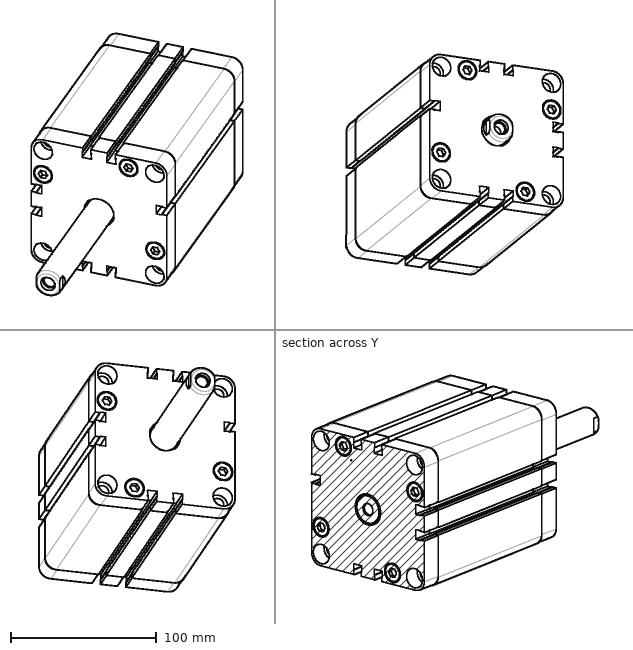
import cadquery as cq

total_length = 252.0
body_length = 146.0
cover_length = 16.1
rear_rod_length = 8.0
tube_width = 100.0
cover_width = 99.8
tube_corner_radius = 7.8
cover_corner_radius = 8.3

half_width = tube_width / 2
rod_front = -total_length / 2
rod_rear = total_length / 2
body_rear = rod_rear - rear_rod_length
body_front = body_rear - body_length
body_middle = (body_front + body_rear) / 2
tube_front = body_front + cover_length
tube_length = body_length - 2 * cover_length

paired_slot_offset = 9.0
single_slot_offset = 12.0
slot_lip = 3.8
slot_inner_width = 6.8
tube_mouth_width = 5.5
cover_mouth_width = 6.0
tube_slot_depth = 7.5
cover_slot_depth = 7.8

slots = [(turn, side * paired_slot_offset) for turn in (0, 180, 270) for side in (-1, 1)]
slots.append((90, -single_slot_offset))

mount_offset = 41.0
mount_hole_diameter = 8.5
mount_bore_diameter = 13.5
mount_bore_depth = 12.5

screw_edge_offset = 41.3
screw_side_offset = 21.7
screw_bore_diameter = 13.5
screw_head_diameter = 12.5
screw_gap_depth = 1.3
hex_across_corners = 6.5
hex_depth = 3.8

rod_diameter = 20.0
rod_end_radius = 1.8
rod_clearance_diameter = 22.0
rod_clearance_depth = 2.5
flat_across = 17.1
flat_length = 5.8
thread_diameter = 8.3
thread_depth = 20.2
thread_relief_diameter = 10.3
thread_relief_depth = 3.5
drill_point_depth = 2.5


def plane_at(y):
    """Work plane at y facing +Y, with its local axes along +X and -Z."""
    return cq.Workplane(cq.Plane(origin=(0, y, 0), xDir=(1, 0, 0), normal=(0, 1, 0)))


def cylinders(points, diameter, start, length):
    """Cylinders along +Y at the given (x, -z) points."""
    return plane_at(start).pushPoints(points).circle(diameter / 2).extrude(length)


def slot(turn, offset, mouth_width, depth, start, length):
    """T-slot for the top face, turned about the rod axis to its own side."""
    inner_height = depth - slot_lip
    inner_center = (offset, -(half_width - slot_lip - inner_height / 2))
    mouth_center = (offset, -(half_width - depth / 2))
    inner = plane_at(start).center(*inner_center).rect(slot_inner_width, inner_height).extrude(length)
    mouth = plane_at(start).center(*mouth_center).rect(mouth_width, depth).extrude(length)
    return inner.union(mouth).rotate((0, 0, 0), (0, 1, 0), turn)


def slotted_block(start, length, width, corner_radius, mouth_width, slot_depth):
    """Rounded square length of the body with all its T-slots."""
    block = plane_at(start).rect(width, width).extrude(length).edges("|Y").fillet(corner_radius)
    for turn, offset in slots:
        block = block.cut(slot(turn, offset, mouth_width, slot_depth, start, length))
    return block


mount_points = [(x, z) for x in (-mount_offset, mount_offset) for z in (-mount_offset, mount_offset)]
screw_points = [
    (screw_side_offset, -screw_edge_offset),
    (screw_edge_offset, screw_side_offset),
    (-screw_side_offset, screw_edge_offset),
    (-screw_edge_offset, -screw_side_offset),
]


def front_cover():
    """End cover with mounting bores, screw heads and clearance around the rod."""
    cover = slotted_block(
        body_front, cover_length, cover_width, cover_corner_radius, cover_mouth_width, cover_slot_depth
    )
    cover = cover.cut(cylinders(mount_points, mount_bore_diameter, body_front, mount_bore_depth))
    cover = cover.cut(cylinders(screw_points, screw_bore_diameter, body_front, screw_gap_depth))
    cover = cover.union(cylinders(screw_points, screw_head_diameter, body_front, screw_gap_depth))
    sockets = plane_at(body_front).pushPoints(screw_points).polygon(6, hex_across_corners)
    cover = cover.cut(sockets.extrude(hex_depth))
    return cover.cut(cylinders([(0, 0)], rod_clearance_diameter, body_front, rod_clearance_depth))


def body():
    """Profiled tube between two mirrored covers, drilled through at the corners."""
    tube = slotted_block(
        tube_front, tube_length, tube_width, tube_corner_radius, tube_mouth_width, tube_slot_depth
    )
    cover = front_cover()
    solid = tube.union(cover).union(cover.mirror("XZ", (0, body_middle, 0)))
    return solid.cut(cylinders(mount_points, mount_hole_diameter, body_front, body_length))


def wrench_flats():
    """Material removed from both sides of the front rod end, each flat running out at 45 degrees."""
    radius = rod_diameter / 2
    half_flat = flat_across / 2
    flat_end = rod_front + flat_length
    profile = [
        (half_flat, rod_front),
        (half_flat, flat_end),
        (radius, flat_end + radius - half_flat),
        (radius, rod_front),
    ]
    side = cq.Workplane("XY").polyline(profile).close().extrude(radius, both=True)
    return side.union(side.mirror("YZ"))


def thread_hole():
    """Threaded hole in the front rod end, with a wider mouth and a drill point."""
    relief_end = rod_front + thread_relief_depth
    thread_end = rod_front + thread_depth
    profile = [
        (0, rod_front),
        (thread_relief_diameter / 2, rod_front),
        (thread_relief_diameter / 2, relief_end),
        (thread_diameter / 2, relief_end),
        (thread_diameter / 2, thread_end),
        (0, thread_end + drill_point_depth),
    ]
    return cq.Workplane("XY").polyline(profile).close().revolve(360, (0, 0, 0), (0, 1, 0))


def piston_rod():
    """Rod with rounded ends; the flats and thread repeat at the rear end."""
    rod = cylinders([(0, 0)], rod_diameter, rod_front, total_length)
    rod = rod.faces("<Y or >Y").edges().fillet(rod_end_radius)
    for end_cut in (wrench_flats(), thread_hole()):
        rod = rod.cut(end_cut).cut(end_cut.mirror("XZ"))
    return rod


result = body().union(piston_rod())